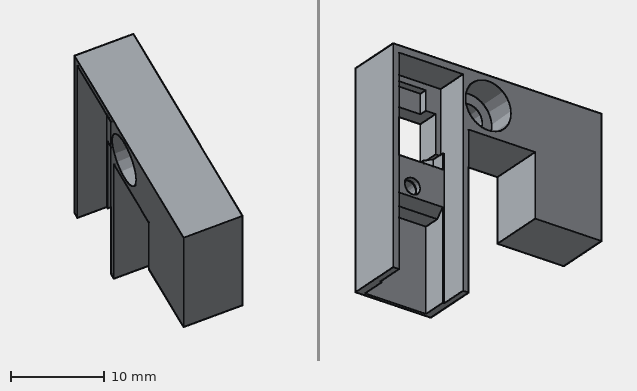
import cadquery as cq

LENGTH = 27.5
THICKNESS = 7.0
HEIGHT = 27.3
ARM_HEIGHT = 7.42
LEG_RIGHT = 9.95
HOOK_LEFT = 18.73
HOOK_HEIGHT = 15.55

CHANNEL_LEFT = 0.77
CHANNEL_RIGHT = 9.2
CHANNEL_TOP = 0.9
UPPER_FLOOR_DEPTH = 4.15
LOWER_FLOOR_DEPTH = 3.5
FLOOR_STEP_Z = 9.08

WINDOW_TOP = 4.15
WINDOW_BOTTOM = 11.05
WINDOW_RIGHT = 8.55
NOTCH_BACK_RIGHT = 8.3
NOTCH_RIGHT = 9.02
NOTCH_BEVEL_START = 5.28
NOTCH_BEVEL_END = NOTCH_BEVEL_START + NOTCH_RIGHT - NOTCH_BACK_RIGHT

RECESS_LEFT = 2.72
RECESS_RIGHT = 7.25
RECESS_TOP = 1.65
RECESS_DEPTH = 1.0

POCKET_LEFT = 1.0
POCKET_RIGHT = NOTCH_RIGHT
POCKET_FRONT_TOP = 15.65
POCKET_FLOOR_DEPTH = 6.6
POCKET_SLOPE = 1.02
POCKET_BACK_TOP = POCKET_FRONT_TOP + POCKET_SLOPE
POCKET_SLOPE_DEPTH = LOWER_FLOOR_DEPTH + POCKET_SLOPE

SCREW_X = 12.55
SCREW_Z = 3.7
SCREW_DIAMETER = 3.5
SCREW_HEAD_DIAMETER = 6.0
SCREW_HEAD_DEPTH = 3.58
PIN_X = 5.03
PIN_Z = 14.33
PIN_DIAMETER = 1.85
PIN_MOUTH_DIAMETER = 2.0
PIN_MOUTH_DEPTH = 0.7


def box(left, right, top, bottom, front, back):
    """Box between two X positions, two distances below the top and two depths."""
    size = (right - left, back - front, bottom - top)
    return cq.Workplane("XY").box(*size, centered=False).translate((left, front, -bottom))


def cylinder(x, z, diameter, front, back):
    """Cylinder along Y, centred at distance z below the top."""
    plane = cq.Workplane("XZ", origin=(x, front, -z))
    return plane.circle(diameter / 2).extrude(front - back)


def body():
    leg = box(0, LEG_RIGHT, 0, HEIGHT, 0, THICKNESS)
    arm = box(0, LENGTH, 0, ARM_HEIGHT, 0, THICKNESS)
    hook = box(HOOK_LEFT, LENGTH, 0, HOOK_HEIGHT, 0, THICKNESS)
    return leg.union(arm).union(hook)


def channel():
    upper = box(CHANNEL_LEFT, CHANNEL_RIGHT, CHANNEL_TOP, FLOOR_STEP_Z, 0, UPPER_FLOOR_DEPTH)
    lower = box(CHANNEL_LEFT, CHANNEL_RIGHT, FLOOR_STEP_Z, HEIGHT, 0, LOWER_FLOOR_DEPTH)
    return upper.union(lower)


def window():
    upper = box(CHANNEL_LEFT, WINDOW_RIGHT, WINDOW_TOP, FLOOR_STEP_Z, 0, THICKNESS)
    notch = (
        cq.Workplane("XY", origin=(0, 0, -WINDOW_BOTTOM))
        .moveTo(CHANNEL_LEFT, 0)
        .lineTo(NOTCH_RIGHT, 0)
        .lineTo(NOTCH_RIGHT, NOTCH_BEVEL_START)
        .lineTo(NOTCH_BACK_RIGHT, NOTCH_BEVEL_END)
        .lineTo(NOTCH_BACK_RIGHT, THICKNESS)
        .lineTo(CHANNEL_LEFT, THICKNESS)
        .close()
        .extrude(WINDOW_BOTTOM - FLOOR_STEP_Z)
    )
    return upper.union(notch)


def recess():
    back = UPPER_FLOOR_DEPTH + RECESS_DEPTH
    return box(RECESS_LEFT, RECESS_RIGHT, RECESS_TOP, WINDOW_TOP, UPPER_FLOOR_DEPTH, back)


def pocket():
    return (
        cq.Workplane("YZ", origin=(POCKET_LEFT, 0, 0))
        .moveTo(LOWER_FLOOR_DEPTH, -HEIGHT)
        .lineTo(LOWER_FLOOR_DEPTH, -POCKET_FRONT_TOP)
        .lineTo(POCKET_SLOPE_DEPTH, -POCKET_BACK_TOP)
        .lineTo(POCKET_FLOOR_DEPTH, -POCKET_BACK_TOP)
        .lineTo(POCKET_FLOOR_DEPTH, -HEIGHT)
        .close()
        .extrude(POCKET_RIGHT - POCKET_LEFT)
    )


def screw_hole():
    head = cylinder(SCREW_X, SCREW_Z, SCREW_HEAD_DIAMETER, 0, SCREW_HEAD_DEPTH)
    return head.union(cylinder(SCREW_X, SCREW_Z, SCREW_DIAMETER, 0, THICKNESS))


def pin_hole():
    mouth_back = LOWER_FLOOR_DEPTH + PIN_MOUTH_DEPTH
    mouth = cylinder(PIN_X, PIN_Z, PIN_MOUTH_DIAMETER, LOWER_FLOOR_DEPTH, mouth_back)
    return mouth.union(cylinder(PIN_X, PIN_Z, PIN_DIAMETER, LOWER_FLOOR_DEPTH, THICKNESS))


result = body()
for cut in (channel(), window(), recess(), pocket(), screw_hole(), pin_hole()):
    result = result.cut(cut)